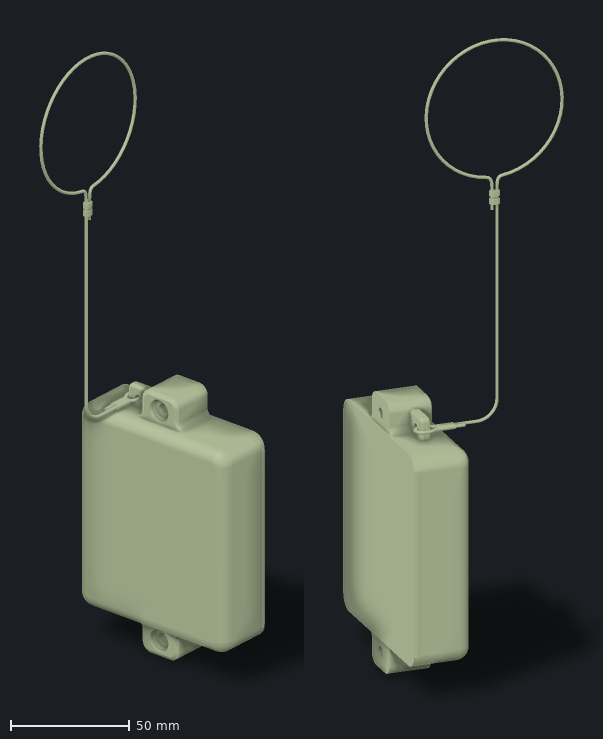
import cadquery as cq
import math


overall_depth = 76.7
overall_height = 286.2

case_width = 81.8
case_height = 96.0
case_depth = 26.5
case_round = 5.7
case_corner_radius = 6.5
lip_width = 82.7
lip_height = case_height - 2 * case_round
lip_depth = 1.7
lip_chamfer = 1.0

ear_width = 20.0
ear_reach = 61.8
ear_back = 1.0
ear_front = case_depth - case_round
ear_corner_radius = 4.5
ear_flare_radius = 3.1
ear_bevel_width = 1.7
ear_bevel_depth = 1.1
screw_height = 54.0
screw_hole_diameter = 5.0
counterbore_diameter = 10.3
counterbore_depth = 3.0
counterbore_chamfer = 1.0

tab_end = -22.3
tab_top = 58.0
tab_back = 10.3
tab_front = 15.0
tab_corner_radius = 2.0
tab_edge_round = 1.5
tab_hole_diameter = 4.0
tab_hole_x = -16.5

wire_diameter = 1.5
wire_x = -19.0
ring_radius = 31.0
ring_depth = overall_depth - ring_radius - wire_diameter / 2
ring_z = overall_height - ear_reach - ring_radius - wire_diameter / 2
ring_opening = 3.7
main_depth = 46.5
tail_depth = 44.0
neck_z = 157.0
tail_end_z = 147.0
bend_radius = 9.2
knot_z = 52.0

loop_radius = 3.1
loop_right_x = -17.03
loop_left_x = loop_right_x - 2 * loop_radius
loop_back_depth = 12.0
loop_front_depth = 15.2
loop_left_depth = 13.2
strand_start_depth = 19.7
knot_tail_x = -21.03
knot_tail_depth = 31.0

crimp_width = 4.5
crimp_thickness = 3.1
crimp_waist_thickness = 1.5
crimp_top_z = 155.7
crimp_length = 6.0
crimp_gap = 1.1
knot_crimp_thickness = 2.15
knot_crimp_start = 18.3
knot_crimp_end = 26.3


def block(width, height, back, front, center_x=0.0, center_z=0.0):
    """A box in front of the case back, between two depths."""
    return cq.Workplane("XY").box(width, front - back, height).translate(
        (center_x, -(back + front) / 2, center_z)
    )


def cylinder(diameter, back, front, x, z):
    """A round bar along y, between two depths."""
    return cq.Workplane("XZ", origin=(x, -back, z)).circle(diameter / 2).extrude(front - back)


def make_case():
    case = block(case_width, case_height, 0, case_depth)
    case = case.edges("|Y").fillet(case_corner_radius)
    case = case.faces("<Y").edges().fillet(case_round)
    lip = block(lip_width, lip_height, 0, lip_depth)
    lip = lip.faces(">Y").edges("|Z").chamfer(lip_chamfer)
    return case.union(lip)


def ear_outline(inset):
    """Upper ear seen from the front, flared where it meets the case and inset all round."""
    half = ear_width / 2 - inset
    top = ear_reach - inset
    corner = ear_corner_radius - inset
    flare = ear_flare_radius + inset
    root = case_height / 2
    foot = root - case_round
    diagonal = math.sqrt(0.5)
    flare_mid_x = half + flare * (1 - diagonal)
    flare_mid_z = root + flare * (1 - diagonal)
    corner_mid_x = half - corner * (1 - diagonal)
    corner_mid_z = top - corner * (1 - diagonal)
    return (
        cq.Workplane("XZ")
        .moveTo(half + flare, foot)
        .lineTo(half + flare, root)
        .threePointArc((flare_mid_x, flare_mid_z), (half, root + flare))
        .lineTo(half, top - corner)
        .threePointArc((corner_mid_x, corner_mid_z), (half - corner, top))
        .lineTo(corner - half, top)
        .threePointArc((-corner_mid_x, corner_mid_z), (-half, top - corner))
        .lineTo(-half, root + flare)
        .threePointArc((-flare_mid_x, flare_mid_z), (-half - flare, root))
        .lineTo(-half - flare, foot)
        .close()
    )


def make_ear():
    bevel_start = ear_front - ear_bevel_depth
    straight = ear_outline(0).extrude(bevel_start - ear_back).translate((0, -ear_back, 0))
    back_wire = ear_outline(0).val().translate(cq.Vector(0, -bevel_start, 0))
    front_wire = ear_outline(ear_bevel_width).val().translate(cq.Vector(0, -ear_front, 0))
    bevel = cq.Workplane(obj=cq.Solid.makeLoft([back_wire, front_wire], True))
    return straight.union(bevel)


def make_screw_cut():
    hole = cylinder(screw_hole_diameter, 0, ear_front, 0, screw_height)
    bore_floor = ear_front - counterbore_depth
    bore = cylinder(counterbore_diameter, bore_floor, ear_front, 0, screw_height)
    bore = bore.faces(">Y").edges().chamfer(counterbore_chamfer)
    return hole.union(bore)


def make_tab():
    foot = case_height / 2 - case_round
    tab = block(-tab_end, tab_top - foot, tab_back, tab_front, tab_end / 2, (tab_top + foot) / 2)
    tab = tab.edges("|Y and <X and >Z").fillet(tab_corner_radius)
    return tab.faces(">Y or <Y").edges("not(<Z or >X)").fillet(tab_edge_round)


def make_housing():
    ear = make_ear()
    screw_cut = make_screw_cut()
    housing = make_case().union(make_tab())
    for turn in (0, 180):
        housing = housing.union(ear.rotate((0, 0, 0), (0, 1, 0), turn))
    for turn in (0, 180):
        housing = housing.cut(screw_cut.rotate((0, 0, 0), (0, 1, 0), turn))
    tab_hole = cylinder(tab_hole_diameter, tab_back, tab_front, tab_hole_x, knot_z)
    return housing.cut(tab_hole)


def ring_point(depth, z):
    """A point in the upright plane of the ring."""
    return cq.Vector(wire_x, -depth, z)


def knot_point(x, depth):
    """A point in the level plane of the loop through the tab."""
    return cq.Vector(x, -depth, knot_z)


def make_wire_path():
    """Centre line of the whole wire, from the tail below the ring to the tail beside the tab."""
    opening_drop = math.sqrt(ring_radius**2 - ring_opening**2)
    ring_start = ring_point(ring_depth - ring_opening, ring_z - opening_drop)
    ring_end = ring_point(ring_depth + ring_opening, ring_z - opening_drop)
    start_heading = cq.Vector(0, opening_drop, ring_opening)
    end_heading = cq.Vector(0, opening_drop, -ring_opening)
    up = cq.Vector(0, 0, 1)
    down = cq.Vector(0, 0, -1)
    back = cq.Vector(0, 1, 0)
    front = cq.Vector(0, -1, 0)

    tail_top = ring_point(tail_depth, neck_z)
    main_top = ring_point(main_depth, neck_z)
    bend_start = ring_point(main_depth, knot_z + bend_radius)
    bend_end = ring_point(main_depth - bend_radius, knot_z)
    strand_start = knot_point(wire_x, strand_start_depth)
    loop_front = knot_point(loop_right_x, loop_front_depth)
    loop_right = knot_point(loop_right_x, loop_back_depth)
    loop_back = knot_point(loop_right_x - loop_radius, loop_back_depth - loop_radius)
    loop_left = knot_point(loop_left_x, loop_back_depth)
    loop_left_end = knot_point(loop_left_x, loop_left_depth)
    knot_tail_start = knot_point(knot_tail_x, strand_start_depth)

    edges = [
        cq.Edge.makeLine(ring_point(tail_depth, tail_end_z), tail_top),
        cq.Edge.makeSpline([tail_top, ring_start], [up, start_heading]),
        cq.Edge.makeThreePointArc(ring_start, ring_point(ring_depth, ring_z + ring_radius), ring_end),
        cq.Edge.makeSpline([ring_end, main_top], [end_heading, down]),
        cq.Edge.makeLine(main_top, bend_start),
        cq.Edge.makeTangentArc(bend_start, down, bend_end),
        cq.Edge.makeLine(bend_end, strand_start),
        cq.Edge.makeSpline([strand_start, loop_front], [back, back]),
        cq.Edge.makeLine(loop_front, loop_right),
        cq.Edge.makeThreePointArc(loop_right, loop_back, loop_left),
        cq.Edge.makeLine(loop_left, loop_left_end),
        cq.Edge.makeSpline([loop_left_end, knot_tail_start], [front, front]),
        cq.Edge.makeLine(knot_tail_start, knot_point(knot_tail_x, knot_tail_depth)),
    ]
    return cq.Wire.assembleEdges(edges)


def crimp_band(origin, width_direction, axis, length, thickness):
    """A flat-sided sleeve with round ends, running from the origin along an axis."""
    plane = cq.Plane(origin=origin, xDir=width_direction, normal=axis)
    return cq.Workplane(plane).slot2D(crimp_width, thickness).extrude(length)


def make_lanyard():
    path = cq.Workplane(obj=make_wire_path())
    start = ring_point(tail_depth, tail_end_z)
    lanyard = cq.Workplane("XY", origin=start).circle(wire_diameter / 2).sweep(path)

    crimp_depth = (tail_depth + main_depth) / 2
    band_length = (crimp_length - crimp_gap) / 2
    for band_top in (crimp_top_z, crimp_top_z - band_length - crimp_gap):
        top = ring_point(crimp_depth, band_top)
        band = crimp_band(top, (0, 1, 0), (0, 0, -1), band_length, crimp_thickness)
        lanyard = lanyard.union(band)
    waist = block(crimp_waist_thickness, crimp_length, tail_depth, main_depth,
                  wire_x, crimp_top_z - crimp_length / 2)
    lanyard = lanyard.union(waist)

    knot_crimp_back = knot_point((wire_x + knot_tail_x) / 2, knot_crimp_start)
    knot_crimp = crimp_band(knot_crimp_back, (1, 0, 0), (0, -1, 0),
                            knot_crimp_end - knot_crimp_start, knot_crimp_thickness)
    return lanyard.union(knot_crimp)


housing = make_housing()
lanyard = make_lanyard()
result = cq.Compound.makeCompound([housing.val(), lanyard.val()])